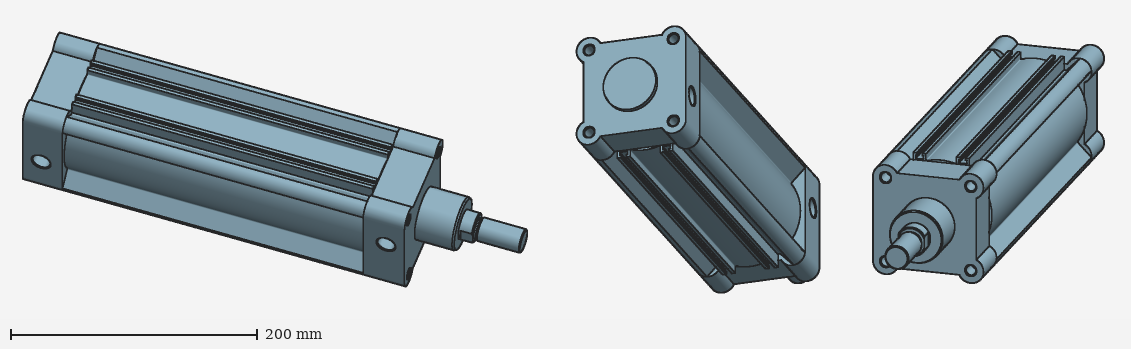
import cadquery as cq
import math

SPIGOT_LENGTH = 4.0
REAR_CAP_LENGTH = 34.3
TUBE_LENGTH = 258.5
FRONT_CAP_LENGTH = 35.5
NOSE_LENGTH = 34.0
OVERALL_LENGTH = 418.0

REAR_CAP_X = SPIGOT_LENGTH
TUBE_X = REAR_CAP_X + REAR_CAP_LENGTH
FRONT_CAP_X = TUBE_X + TUBE_LENGTH
NOSE_X = FRONT_CAP_X + FRONT_CAP_LENGTH
ROD_X = NOSE_X + NOSE_LENGTH

SECTION_SIZE = 94.0
HALF_SECTION = SECTION_SIZE / 2
LOBE_RADIUS = 11.0
SCREW_OFFSET = HALF_SECTION - LOBE_RADIUS
CAP_HALF_BODY = 41.0
BOSS_RADIUS = 22.5
NOSE_CHAMFER_LENGTH = 1.5
NOSE_CHAMFER_DEPTH = 1.0
SCREW_HOLE_RADIUS = 4.0
HOLE_CHAMFER = 1.0
SCREW_HOLE_DEPTH = 16.7

PORT_RADIUS = 7.5
PORT_DEPTH = 16.7
PORT_INSET = 16.0
PORT_HEIGHT = 9.5

TUBE_RADIUS = 43.0
WEB_WIDTH = 14.0
WEB_FILLET = 1.3
RAIL_CENTRE = 18.5
RAIL_WIDTH = 11.0
RAIL_WALL = 2.0
RAIL_MOUTH = 4.0
RAIL_LIP = 2.0
RAIL_FLOOR = 42.2
MOUTH_CHAMFER = 0.5
RAIL_FILLET = 1.0
EDGE_TOLERANCE = 0.05

ROD_RADIUS = 12.5
COLLAR_LENGTH = 1.5
FLATS_WIDTH = 22.0
SHOULDER_LENGTH = 12.0
SHOULDER_CHAMFER = 1.0
NECK_RADIUS = 8.8
NECK_LENGTH = 1.5
THREAD_LEAD_IN = 1.5
THREAD_RADIUS = 10.0
THREAD_CHAMFER = 1.0

SIGNS = (-1, 1)


def cylinder_x(x, radius, length, y=0, z=0):
    """Round bar along +X starting at x."""
    return cq.Workplane("YZ", origin=(x, y, z)).circle(radius).extrude(length)


def block(x, length, y_range, z_range):
    """Rectangular bar along X between the given Y and Z limits."""
    width = y_range[1] - y_range[0]
    height = z_range[1] - z_range[0]
    return cq.Workplane("XY").box(length, width, height, centered=False).translate((x, y_range[0], z_range[0]))


def cap_block(x, length):
    """Cap with a round lobe at each corner and a full flat side at -Y."""
    cap = block(x, length, (-CAP_HALF_BODY, CAP_HALF_BODY), (-CAP_HALF_BODY, CAP_HALF_BODY))
    cap = cap.union(block(x, length, (-HALF_SECTION, 0), (-SCREW_OFFSET, SCREW_OFFSET)))
    for y_sign in SIGNS:
        for z_sign in SIGNS:
            cap = cap.union(cylinder_x(x, LOBE_RADIUS, length, y_sign * SCREW_OFFSET, z_sign * SCREW_OFFSET))
    return cap


def chamfered_hole(plane, radius, depth):
    """Blind hole going in along the plane normal, with a chamfered mouth at the plane origin."""
    hole = cq.Workplane(plane).circle(radius).extrude(depth)
    mouth = cq.Workplane(plane).circle(radius + HOLE_CHAMFER).extrude(HOLE_CHAMFER, taper=45)
    return hole.union(mouth)


def drill_screw_holes(cap, face_x, inward):
    """Drill the four corner screw holes into an end face; inward is +1 or -1 along X."""
    for y_sign in SIGNS:
        for z_sign in SIGNS:
            centre = (face_x, y_sign * SCREW_OFFSET, z_sign * SCREW_OFFSET)
            plane = cq.Plane(origin=centre, xDir=(0, 1, 0), normal=(inward, 0, 0))
            cap = cap.cut(chamfered_hole(plane, SCREW_HOLE_RADIUS, SCREW_HOLE_DEPTH))
    return cap


def drill_port(cap, x, z):
    """Drill a blind air port into the -Y side."""
    plane = cq.Plane(origin=(x, -HALF_SECTION, z), xDir=(1, 0, 0), normal=(0, 1, 0))
    return cap.cut(chamfered_hole(plane, PORT_RADIUS, PORT_DEPTH))


def make_rear_cap():
    cap = cap_block(REAR_CAP_X, REAR_CAP_LENGTH)
    cap = cap.union(cylinder_x(0, BOSS_RADIUS, SPIGOT_LENGTH + REAR_CAP_LENGTH))
    cap = drill_screw_holes(cap, REAR_CAP_X, 1)
    return drill_port(cap, REAR_CAP_X + PORT_INSET, -PORT_HEIGHT)


def make_front_cap():
    cap = cap_block(FRONT_CAP_X, FRONT_CAP_LENGTH)
    nose = cylinder_x(FRONT_CAP_X, BOSS_RADIUS, FRONT_CAP_LENGTH + NOSE_LENGTH)
    cap = cap.union(nose.faces(">X").edges().chamfer(NOSE_CHAMFER_LENGTH, NOSE_CHAMFER_DEPTH))
    cap = drill_screw_holes(cap, NOSE_X, -1)
    return drill_port(cap, NOSE_X - PORT_INSET, PORT_HEIGHT)


def corner_web(angle):
    """Diagonal web with a round end that is concentric with the cap screw."""
    reach = SCREW_OFFSET * math.sqrt(2)
    web = block(TUBE_X, TUBE_LENGTH, (0, reach + LOBE_RADIUS), (-WEB_WIDTH / 2, WEB_WIDTH / 2))
    end = cylinder_x(TUBE_X, LOBE_RADIUS, TUBE_LENGTH, reach)
    core = block(TUBE_X, TUBE_LENGTH, (0, reach), (-WEB_WIDTH / 2, WEB_WIDTH / 2))
    return web.intersect(end).union(core).rotate((0, 0, 0), (1, 0, 0), angle)


def barrel_edges(tube, low, high):
    """Lengthwise edges on the round barrel whose distance from the Y middle lies between two limits."""
    def is_wanted(edge):
        middle = edge.Center()
        on_barrel = abs(math.hypot(middle.y, middle.z) - TUBE_RADIUS) < EDGE_TOLERANCE
        return on_barrel and low < abs(middle.y) < high
    return tube.edges("|X").filter(is_wanted)


def sensor_rail(y, z_sign):
    """C-shaped sensor rail and the pocket inside it, as a bar to add and a bar to cut."""
    def bar(width, low, high):
        z_limits = sorted((z_sign * low, z_sign * high))
        return block(TUBE_X, TUBE_LENGTH, (y - width / 2, y + width / 2), z_limits)
    outer = bar(RAIL_WIDTH, 0, HALF_SECTION)
    pocket = bar(RAIL_WIDTH - 2 * RAIL_WALL, RAIL_FLOOR, HALF_SECTION - RAIL_LIP)
    mouth = bar(RAIL_MOUTH, RAIL_FLOOR, HALF_SECTION)
    flare = cq.Workplane("YZ", origin=(TUBE_X, y, 0)).polyline([
        (-RAIL_MOUTH / 2, z_sign * (HALF_SECTION - MOUTH_CHAMFER)),
        (-RAIL_MOUTH / 2 - MOUTH_CHAMFER, z_sign * HALF_SECTION),
        (RAIL_MOUTH / 2 + MOUTH_CHAMFER, z_sign * HALF_SECTION),
        (RAIL_MOUTH / 2, z_sign * (HALF_SECTION - MOUTH_CHAMFER)),
    ]).close().extrude(TUBE_LENGTH)
    return outer, pocket.union(mouth).union(flare)


def make_tube():
    tube = cylinder_x(TUBE_X, TUBE_RADIUS, TUBE_LENGTH)
    for angle in (45, 135, 225, 315):
        tube = tube.union(corner_web(angle))
    tube = barrel_edges(tube, WEB_WIDTH, TUBE_RADIUS).fillet(WEB_FILLET)
    for y_sign in SIGNS:
        for z_sign in SIGNS:
            rail, slot = sensor_rail(y_sign * RAIL_CENTRE, z_sign)
            tube = tube.union(rail).cut(slot)
    return barrel_edges(tube, RAIL_CENTRE - RAIL_WIDTH, RAIL_CENTRE).fillet(RAIL_FILLET)


def make_rod():
    shoulder = cylinder_x(ROD_X, ROD_RADIUS, SHOULDER_LENGTH).faces(">X").chamfer(SHOULDER_CHAMFER)
    for side in SIGNS:
        y_limits = sorted((side * FLATS_WIDTH / 2, side * 2 * ROD_RADIUS))
        shoulder = shoulder.cut(
            block(ROD_X + COLLAR_LENGTH, SHOULDER_LENGTH, y_limits, (-ROD_RADIUS, ROD_RADIUS)))
    neck_x = ROD_X + SHOULDER_LENGTH
    thread_x = neck_x + NECK_LENGTH
    neck = cylinder_x(neck_x, NECK_RADIUS, NECK_LENGTH)
    thread = cylinder_x(thread_x, THREAD_RADIUS, OVERALL_LENGTH - thread_x)
    thread = thread.faces("<X").edges().chamfer(THREAD_LEAD_IN, THREAD_RADIUS - NECK_RADIUS)
    thread = thread.faces(">X").edges().chamfer(THREAD_CHAMFER)
    return shoulder.union(neck).union(thread)


rear_cap = make_rear_cap()
tube = make_tube()
front_cap = make_front_cap()
rod = make_rod()

result = cq.Compound.makeCompound([rear_cap.val(), tube.val(), front_cap.val(), rod.val()])